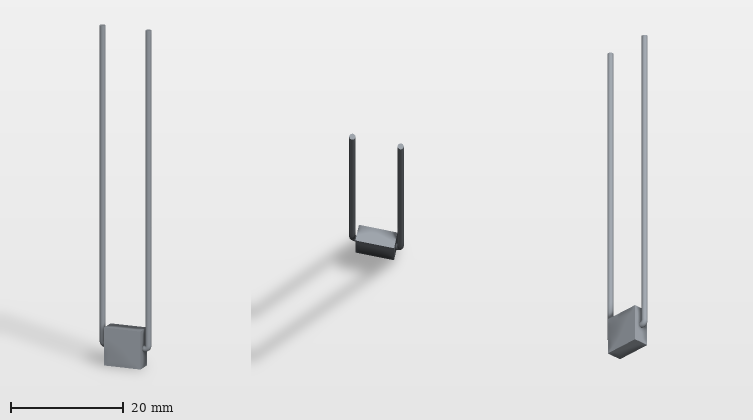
import cadquery as cq
import math

housing_width = 7.0
housing_depth = 3.0
housing_height = 7.0

overall_width = 9.88
overall_height = 62.29
lead_diameter = 1.1
bend_radius = 0.65
lead_exit_height = housing_height / 2

face_x = housing_width / 2
lead_x = (overall_width - lead_diameter) / 2
bend_start_x = lead_x - bend_radius
bend_top_z = lead_exit_height + bend_radius


def make_housing():
    """Plain rectangular block."""
    return cq.Workplane("XY").box(
        housing_width, housing_depth, housing_height, centered=(True, True, False)
    )


def make_lead(side):
    """Wire lead on the +X (side = 1) or -X (side = -1) face: short stub, quarter bend and long leg."""
    bend_middle_x = bend_start_x + bend_radius * math.sin(math.pi / 4)
    bend_middle_z = bend_top_z - bend_radius * math.cos(math.pi / 4)
    centreline = (
        cq.Workplane("XZ")
        .moveTo(side * face_x, lead_exit_height)
        .lineTo(side * bend_start_x, lead_exit_height)
        .threePointArc((side * bend_middle_x, bend_middle_z), (side * lead_x, bend_top_z))
        .lineTo(side * lead_x, overall_height)
    )
    return (
        cq.Workplane("YZ", origin=(side * face_x, 0, lead_exit_height))
        .circle(lead_diameter / 2)
        .sweep(centreline)
    )


housing = make_housing()
leads = [make_lead(side) for side in (-1, 1)]

result = cq.Compound.makeCompound([housing.val(), *[lead.val() for lead in leads]])